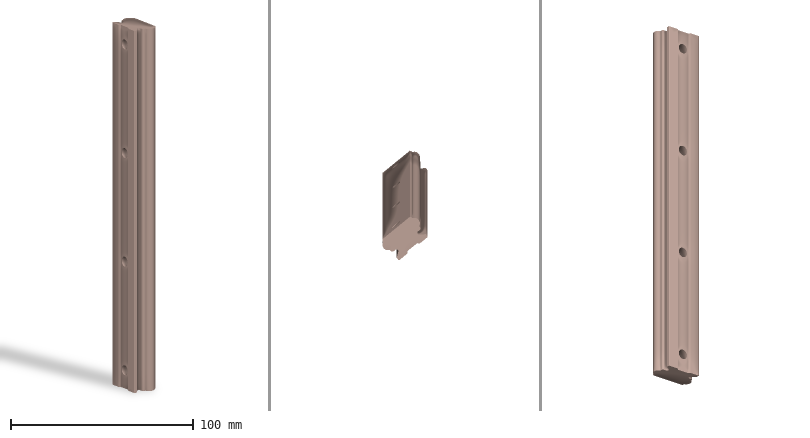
import cadquery as cq
import math

length = 207.5
overall_width = 25.0
rail_height = 15.0
rail_half_width = 10.4
top_chamfer = 0.6
foot_chamfer = 0.2

shaft_diameter = 6.0
shaft_radius = shaft_diameter / 2
shaft_x = overall_width / 2 - shaft_radius
shaft_y = 10.5

groove_half_width = 7.0
groove_top = 5.8
groove_floor_radius = 1.0
groove_slope = math.radians(35)
lip_radius = 1.0

recess_depth = 1.0
recess_floor_half_width = 3.5
recess_mouth_half_width = 4.4

hole_diameter = 5.5
hole_count = 4
hole_pitch = 62.2
first_hole_z = (length - (hole_count - 1) * hole_pitch) / 2


def make_shaft(side):
    return cq.Workplane("XY").center(side * shaft_x, shaft_y).circle(shaft_radius).extrude(length)


def make_blank():
    """Rectangular bar with its four long corners chamfered."""
    bar = cq.Workplane("XY").box(2 * rail_half_width, rail_height, length, centered=(True, False, False))
    bar = bar.edges("|Z and >Y").chamfer(top_chamfer)
    return bar.edges("|Z and <Y").chamfer(foot_chamfer)


def make_groove(side):
    """Undercut with a level upper face, a round floor, a sloping lower face and a rounded lip."""
    center_x = groove_half_width + groove_floor_radius
    center_y = groove_top - groove_floor_radius
    tangent_x = center_x - groove_floor_radius * math.sin(groove_slope)
    tangent_y = center_y - groove_floor_radius * math.cos(groove_slope)
    foot_side_height = tangent_y - (rail_half_width - tangent_x) * math.tan(groove_slope)
    lip_x = rail_half_width - lip_radius
    lip_center_y = groove_top + lip_radius
    lip_offset = lip_radius * math.sqrt(0.5)
    return (
        cq.Workplane("XY")
        .moveTo(side * rail_half_width, foot_side_height)
        .lineTo(side * tangent_x, tangent_y)
        .threePointArc((side * groove_half_width, center_y), (side * center_x, groove_top))
        .lineTo(side * lip_x, groove_top)
        .threePointArc(
            (side * (lip_x + lip_offset), lip_center_y - lip_offset),
            (side * rail_half_width, lip_center_y),
        )
        .close()
        .extrude(length)
    )


def make_recess():
    outline = [
        (-recess_mouth_half_width, 0),
        (-recess_floor_half_width, recess_depth),
        (recess_floor_half_width, recess_depth),
        (recess_mouth_half_width, 0),
    ]
    return cq.Workplane("XY").polyline(outline).close().extrude(length)


def make_hole(z):
    hole = cq.Solid.makeCylinder(hole_diameter / 2, rail_height, cq.Vector(0, 0, z), cq.Vector(0, 1, 0))
    return cq.Workplane(hole)


def make_rail():
    rail = make_blank().cut(make_recess())
    for side in (-1, 1):
        rail = rail.cut(make_groove(side)).cut(make_shaft(side))
    for index in range(hole_count):
        rail = rail.cut(make_hole(first_hole_z + index * hole_pitch))
    return rail


rail = make_rail()
shafts = [make_shaft(side) for side in (-1, 1)]

result = cq.Compound.makeCompound([rail.val(), *[shaft.val() for shaft in shafts]])